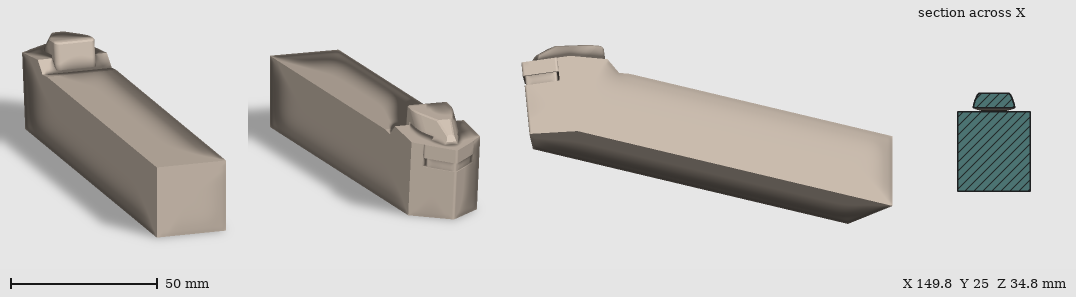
import cadquery as cq
import math

LENGTH = 149.8
SHANK = 25.0
TIP_HEIGHT = 25.0
TILT = 7.0
POINT_HALF_ANGLE = 48.5

INSERT_HALF_WIDTH = 9.5
INSERT_THICKNESS = 4.8
INSERT_CORNER_RADIUS = 0.9
SHIM_THICKNESS = 3.3
SHIM_INSET = 0.7
FLANK_INSET = 0.3
NOSE_RADIUS = 0.9

SEAT_START = 27.4
SEAT_END = 31.9
GROOVE_DROP = 4.5

CLAMP_TIP = 5.7
CLAMP_PAD_END = 11.5
CLAMP_GAP = 1.2
CLAMP_HEIGHT = 6.3
CLAMP_LIP = 1.0
CLAMP_NOSE_TOP = (7.0, 3.1)
CLAMP_RAMP_END = 13.6
CLAMP_CREST = 28.5
CLAMP_BACK_TOP = (31.3, 5.7)
CLAMP_BACK_FOOT = 31.9
CLAMP_FOOT_DROP = 3.6
CLAMP_HALF_WIDTH = 7.3
CLAMP_TAPER = 24.4
CLAMP_SIDE_RADIUS = 16.5
CLAMP_BLEND_END = 20.2
CLAMP_SIDE_SLANT = 39.0
CLAMP_BACK_RADIUS = 1.8
CLAMP_EDGE_CHAMFER = 0.5

sin_tilt = math.sin(math.radians(TILT))
cos_tilt = math.cos(math.radians(TILT))
half_angle = math.radians(POINT_HALF_ANGLE)
insert_half_length = INSERT_HALF_WIDTH / math.tan(half_angle)
insert_sharp_tip = -INSERT_CORNER_RADIUS * (1 / math.sin(half_angle) - 1)
insert_center = insert_sharp_tip + insert_half_length
clearance = 2 * SHANK

seat_plane = cq.Plane(
    origin=(0, 0, TIP_HEIGHT), xDir=(cos_tilt, 0, sin_tilt), normal=(-sin_tilt, 0, cos_tilt)
)


def on_side(along, above):
    """XZ point from a distance along the seat plane and a height above it."""
    x = along * cos_tilt - above * sin_tilt
    z = TIP_HEIGHT + along * sin_tilt + above * cos_tilt
    return (x, z)


def side_prism(points, half_width):
    """Closed XZ outline extruded equally to both sides of the centre plane."""
    return cq.Workplane("XZ").polyline(points).close().extrude(half_width, both=True)


def rhombus_plate(top, thickness, inset=0.0):
    """Sharp rhombic plate below height `top`, its edges moved in by `inset` from the insert's edges."""
    half_width = INSERT_HALF_WIDTH - inset / math.cos(half_angle)
    half_length = half_width / math.tan(half_angle)
    return (
        cq.Workplane(seat_plane)
        .workplane(offset=top - thickness)
        .center(insert_center, 0)
        .polyline([(-half_length, 0), (0, -half_width), (half_length, 0), (0, half_width)])
        .close()
        .extrude(thickness)
    )


def rounded_corners(plate):
    upright = cq.selectors.ParallelDirSelector(seat_plane.zDir)
    return plate.edges(upright).fillet(INSERT_CORNER_RADIUS)


def make_insert():
    return rounded_corners(rhombus_plate(0, INSERT_THICKNESS))


def pointed_envelope():
    """Tall pointed prism, square to the seat, that gives the holder its flanks."""
    tip = insert_sharp_tip + FLANK_INSET / math.sin(half_angle)
    shoulder = tip + SHANK / 2 / math.tan(half_angle)
    rear = LENGTH + clearance
    envelope = (
        cq.Workplane(seat_plane)
        .workplane(offset=-clearance)
        .polyline([
            (tip, 0), (shoulder, -SHANK / 2), (rear, -SHANK / 2), (rear, SHANK / 2), (shoulder, SHANK / 2)
        ])
        .close()
        .extrude(2 * clearance)
    )
    nose_point = seat_plane.toWorldCoords((tip, 0, 0)).toTuple()
    return envelope.edges(cq.selectors.NearestToPointSelector(nose_point)).fillet(NOSE_RADIUS)


def make_holder():
    floor_start = on_side(SEAT_END, -GROOVE_DROP)
    floor_end_x = floor_start[0] + (SHANK - floor_start[1]) * cos_tilt / sin_tilt
    front_top = on_side(-clearance, 0)
    blank = side_prism(
        [
            (front_top[0], 0),
            front_top,
            on_side(SEAT_START, 0),
            floor_start,
            (floor_end_x, SHANK),
            (LENGTH, SHANK),
            (LENGTH, 0),
        ],
        SHANK / 2,
    )
    shim_bottom = INSERT_THICKNESS + SHIM_THICKNESS
    pocket = rhombus_plate(0, shim_bottom)
    shim = rounded_corners(rhombus_plate(-INSERT_THICKNESS, SHIM_THICKNESS, SHIM_INSET))
    return blank.intersect(pointed_envelope()).cut(pocket).union(shim)


def clamp_side_shape():
    """Clamp as seen from the side, wider than needed."""
    seat_slope = GROOVE_DROP / (SEAT_END - SEAT_START)
    foot_front = SEAT_START + CLAMP_FOOT_DROP / seat_slope
    outline = (
        cq.Workplane("XZ")
        .moveTo(*on_side(CLAMP_TIP, 0))
        .lineTo(*on_side(CLAMP_TIP, CLAMP_LIP))
        .lineTo(*on_side(*CLAMP_NOSE_TOP))
        .lineTo(*on_side(CLAMP_RAMP_END, CLAMP_HEIGHT))
        .lineTo(*on_side(CLAMP_CREST, CLAMP_HEIGHT))
        .tangentArcPoint(on_side(*CLAMP_BACK_TOP), relative=False)
        .lineTo(*on_side(CLAMP_BACK_FOOT, -CLAMP_FOOT_DROP))
        .lineTo(*on_side(foot_front, -CLAMP_FOOT_DROP))
        .lineTo(*on_side(SEAT_START, 0))
        .lineTo(*on_side(SEAT_START, CLAMP_GAP))
        .lineTo(*on_side(CLAMP_PAD_END, CLAMP_GAP))
        .lineTo(*on_side(CLAMP_PAD_END, 0))
        .close()
    )
    return outline.extrude(SHANK / 2, both=True)


def clamp_plan_shape():
    """Tapered clamp outline swept upward and rearward, so its side faces lean with the sweep."""
    taper = math.radians(CLAMP_TAPER)
    slope = math.tan(math.radians(CLAMP_SIDE_SLANT))

    def blend_point(angle):
        along = CLAMP_BLEND_END - CLAMP_SIDE_RADIUS * math.sin(angle)
        return (along, CLAMP_HALF_WIDTH - CLAMP_SIDE_RADIUS * (1 - math.cos(angle)))

    def mirrored(point):
        return (point[0], -point[1])

    blend_start = blend_point(taper)
    blend_middle = blend_point(taper / 2)
    blend_end = blend_point(0)
    front = blend_start[0] - blend_start[1] / math.tan(taper)
    rear = LENGTH / 2
    outline = (
        cq.Workplane(seat_plane)
        .workplane(offset=-CLAMP_HEIGHT)
        .center(-CLAMP_HEIGHT / slope, 0)
        .moveTo(front, 0)
        .lineTo(*blend_start)
        .threePointArc(blend_middle, blend_end)
        .lineTo(rear, CLAMP_HALF_WIDTH)
        .lineTo(rear, -CLAMP_HALF_WIDTH)
        .lineTo(*mirrored(blend_end))
        .threePointArc(mirrored(blend_middle), mirrored(blend_start))
        .close()
    )
    rise = 3 * CLAMP_HEIGHT
    sweep = seat_plane.xDir * (rise / slope) + seat_plane.zDir * rise
    return cq.Workplane(cq.Solid.extrudeLinear(outline.val(), [], sweep))


def nearest_face(body, along, above):
    """Face whose middle lies closest to a position on the centre plane."""
    x, z = on_side(along, above)
    return body.faces(cq.selectors.NearestToPointSelector((x, 0, z)))


def make_clamp():
    clamp = clamp_side_shape().intersect(clamp_plan_shape())

    back_along = (CLAMP_BACK_TOP[0] + CLAMP_BACK_FOOT) / 2
    back_above = (CLAMP_BACK_TOP[1] - CLAMP_FOOT_DROP) / 2
    back_corners = nearest_face(clamp, back_along, back_above).edges("not |Y").vals()
    clamp = clamp.newObject(back_corners).fillet(CLAMP_BACK_RADIUS)

    ramp_along = (CLAMP_NOSE_TOP[0] + CLAMP_RAMP_END) / 2
    ramp_above = (CLAMP_NOSE_TOP[1] + CLAMP_HEIGHT) / 2
    ramp_sides = nearest_face(clamp, ramp_along, ramp_above).edges("not |Y").vals()
    top_sides = nearest_face(clamp, CLAMP_BLEND_END, CLAMP_HEIGHT).edges("not |Y").vals()
    return clamp.newObject(ramp_sides + top_sides).chamfer(CLAMP_EDGE_CHAMFER)


insert = make_insert()
holder = make_holder().union(make_clamp())

result = cq.Compound.makeCompound([holder.val(), insert.val()])